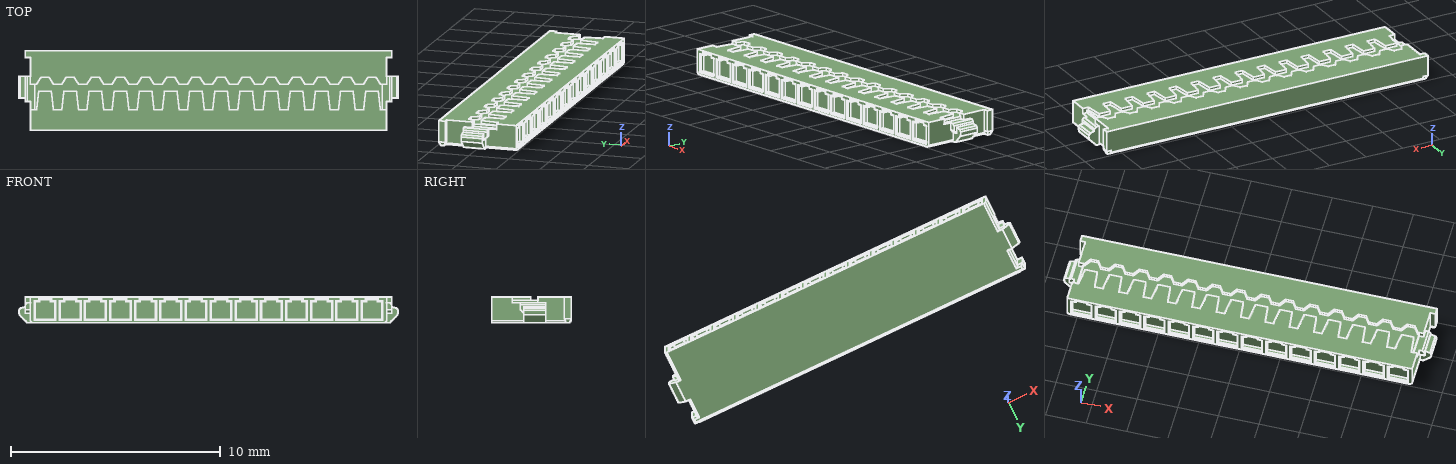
import cadquery as cq

WAY_COUNT = 14
PITCH = 1.2
LENGTH = 17.0
DEPTH = 3.8
HEIGHT = 1.24
EDGE_BEVEL = 0.1

FLANGE_REACH = 0.25
FLANGE_DEPTH = 0.33
FLANGE_TAPER_HEIGHT = 0.2
FLANGE_TAPER_INSET = 0.09

CAVITY_DEPTH = 0.2
MOUTH_BEVEL = 0.05
CAVITY_HALF_WIDTH = 0.52
CAVITY_BOTTOM = 0.12
CAVITY_SHOULDER = 1.05
CAVITY_TOP = 1.16
KEY_HALF_WIDTH = 0.31

RECESS_DEPTH = 0.15
SCALLOP_BASE_Y = 2.2
SCALLOP_CREST_Y = 2.53
SCALLOP_BASE_HALF_WIDTH = 0.4
SCALLOP_CREST_HALF_WIDTH = 0.19
TOOTH_ROOT_Y = 0.98
TOOTH_TIP_Y = 1.87
TOOTH_ROOT_HALF_WIDTH = 0.4
TOOTH_TIP_HALF_WIDTH = 0.3

NOTCH_WIDTH = 0.22
LATCH_BACK_Y = 2.58
ARM_FRONT_Y = 1.37
HOOK_FRONT_Y = 1.53
ARM_TOP = 0.97
ARM_BEVEL = 0.1
ARM_REACH = 0.25
ARM_LIP_BOTTOM = 0.63
HOOK_TOP = 0.77
HOOK_REACH = 0.55
HOOK_TOP_FALL = 0.06
HOOK_BEVEL_WIDTH = 0.07
HOOK_FACE_TOP = 0.61
HOOK_FACE_BOTTOM = 0.51
HOOK_KNEE_HEIGHT = 0.38
HOOK_KNEE_REACH = 0.52
HOOK_TOE_REACH = 0.15

END = LENGTH / 2
WAY_CENTRES = [(i - (WAY_COUNT - 1) / 2) * PITCH for i in range(WAY_COUNT)]


def make_body():
    """Plain bar with bevels along the two bottom end edges and the bottom back edge."""
    bar = cq.Workplane("XY").box(LENGTH, DEPTH, HEIGHT, centered=(True, False, False))
    return bar.edges("<Z and (<X or >X or >Y)").chamfer(EDGE_BEVEL)


def make_flange():
    """Flange block on the +X end, its lower part tapering inwards on three sides."""
    inner_x = END - EDGE_BEVEL
    width = END + FLANGE_REACH - inner_x
    block = (
        cq.Workplane("XY")
        .box(width, FLANGE_DEPTH, HEIGHT, centered=False)
        .translate((inner_x, DEPTH - FLANGE_DEPTH, 0))
    )
    rim = block.faces("<Z").edges("<Y or >X or >Y")
    return rim.chamfer(FLANGE_TAPER_HEIGHT, FLANGE_TAPER_INSET)


def cavity_outline(inset):
    """Cavity cross-section in X and Z, pulled in on every side by the inset."""
    side = CAVITY_HALF_WIDTH - inset
    key = KEY_HALF_WIDTH - inset
    bottom = CAVITY_BOTTOM + inset
    shoulder = CAVITY_SHOULDER - inset
    top = CAVITY_TOP - inset
    return [
        (-side, bottom),
        (side, bottom),
        (side, shoulder),
        (key, shoulder),
        (key, top),
        (-key, top),
        (-key, shoulder),
        (-side, shoulder),
    ]


def make_cavity():
    """Keyed cavity for one contact, centred on X = 0."""
    mouth = (
        cq.Workplane("XZ")
        .polyline(cavity_outline(0))
        .close()
        .workplane(offset=-MOUTH_BEVEL)
        .polyline(cavity_outline(MOUTH_BEVEL))
        .close()
        .loft(ruled=True)
    )
    chamber = cq.Workplane("XZ").polyline(cavity_outline(MOUTH_BEVEL)).close().extrude(-CAVITY_DEPTH)
    return mouth.union(chamber)


def make_recess():
    """Shallow top recess running out through both ends."""
    back_wall = [(-END, SCALLOP_BASE_Y)]
    front_wall = [(-END, TOOTH_ROOT_Y)]
    for x in WAY_CENTRES:
        back_wall += [
            (x - SCALLOP_BASE_HALF_WIDTH, SCALLOP_BASE_Y),
            (x - SCALLOP_CREST_HALF_WIDTH, SCALLOP_CREST_Y),
            (x + SCALLOP_CREST_HALF_WIDTH, SCALLOP_CREST_Y),
            (x + SCALLOP_BASE_HALF_WIDTH, SCALLOP_BASE_Y),
        ]
        front_wall += [
            (x - TOOTH_ROOT_HALF_WIDTH, TOOTH_ROOT_Y),
            (x - TOOTH_TIP_HALF_WIDTH, TOOTH_TIP_Y),
            (x + TOOTH_TIP_HALF_WIDTH, TOOTH_TIP_Y),
            (x + TOOTH_ROOT_HALF_WIDTH, TOOTH_ROOT_Y),
        ]
    back_wall.append((END, SCALLOP_BASE_Y))
    front_wall.append((END, TOOTH_ROOT_Y))
    return (
        cq.Workplane("XY", origin=(0, 0, HEIGHT - RECESS_DEPTH))
        .polyline(back_wall + front_wall[::-1])
        .close()
        .extrude(RECESS_DEPTH)
    )


def make_notch():
    """Deeper step in the recess at the +X end, level with the top of the latch arm."""
    return (
        cq.Workplane("XY")
        .box(NOTCH_WIDTH, SCALLOP_BASE_Y - TOOTH_ROOT_Y, HEIGHT - ARM_TOP, centered=False)
        .translate((END - NOTCH_WIDTH, TOOTH_ROOT_Y, ARM_TOP))
    )


def extrude_along_y(outline, front_y, back_y):
    """Solid with the given X-Z outline between two Y positions."""
    return cq.Workplane("XZ", origin=(0, back_y, 0)).polyline(outline).close().extrude(back_y - front_y)


def make_latch():
    """Latch on the +X end: a wide arm above a narrower hook."""
    root_x = END - NOTCH_WIDTH
    arm_x = END + ARM_REACH
    hook_x = END + HOOK_REACH
    overhang = HOOK_FRONT_Y - ARM_FRONT_Y
    arm_bottom = ARM_LIP_BOTTOM - overhang
    arm = extrude_along_y(
        [
            (root_x, arm_bottom),
            (arm_x, arm_bottom),
            (arm_x, ARM_TOP - ARM_BEVEL),
            (arm_x - ARM_BEVEL, ARM_TOP),
            (root_x, ARM_TOP),
        ],
        ARM_FRONT_Y,
        LATCH_BACK_Y,
    )
    arm = arm.edges("<Y and <Z").chamfer(overhang)
    hook = extrude_along_y(
        [
            (root_x, 0),
            (END + HOOK_TOE_REACH, 0),
            (END + HOOK_KNEE_REACH, HOOK_KNEE_HEIGHT),
            (hook_x, HOOK_FACE_BOTTOM),
            (hook_x, HOOK_FACE_TOP),
            (hook_x - HOOK_BEVEL_WIDTH, HOOK_TOP - HOOK_TOP_FALL),
            (arm_x, HOOK_TOP),
            (root_x, HOOK_TOP),
        ],
        HOOK_FRONT_Y,
        LATCH_BACK_Y,
    )
    return arm.union(hook)


def on_both_ends(feature):
    """Feature of the +X end joined with its mirror image on the -X end."""
    return feature.union(feature.mirror("YZ"))


result = make_body().union(on_both_ends(make_flange()))
result = result.cut(make_recess()).cut(on_both_ends(make_notch()))
result = result.union(on_both_ends(make_latch()))
cavity = make_cavity()
for centre_x in WAY_CENTRES:
    result = result.cut(cavity.translate((centre_x, 0, 0)))